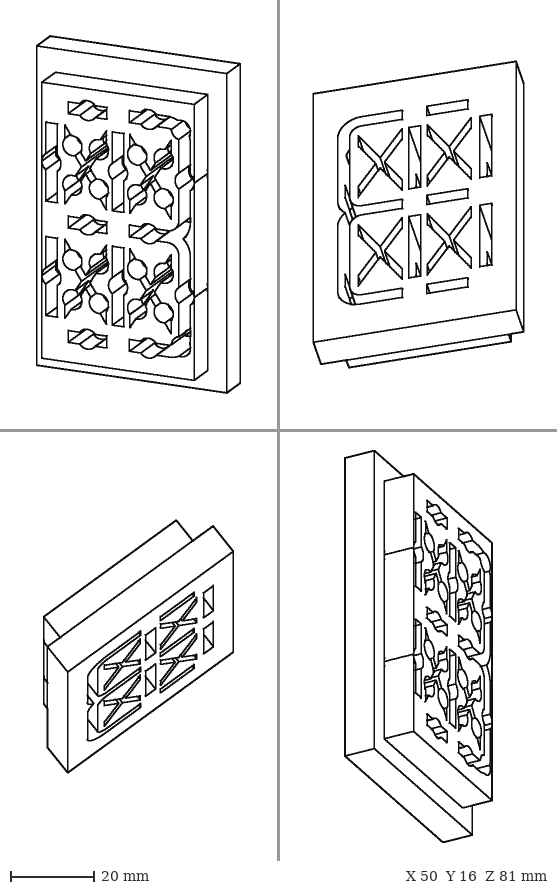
import cadquery as cq

plate_width = 50.0
plate_height = 81.0
plate_depth = 8.0
block_width = 40.0
block_height = 70.0
block_depth = 8.0
block_center_z = -0.5

slot_width = 3.0
pocket_radius = 2.5
cell_half_height = 14.5
cell_rows = (-cell_half_height, cell_half_height)
bar_rows = (-2 * cell_half_height, 0, 2 * cell_half_height)

upright_height = 20.0
side_x = block_width / 2 - pocket_radius
upright_columns = (-side_x, 0)

arm_start_x = 3.0
level_length = 10.1
level_slot_x = -arm_start_x - level_length / 2
level_pocket_x = 8.0

cross_x = 8.5
cross_half_width = 5.4
cross_half_height = upright_height / 2
cross_end_height = 3.3
cross_pocket_dx = 3.5
cross_pocket_dz = 5.0

bend_inner_radius = 3.0
top_outer_radius = 6.0
middle_outer_radius = 5.75
bottom_outer_radius = 5.4
corner_pocket_x = 16.5
corner_pocket_drop = 1.5
corner_pocket_z = bar_rows[2] - corner_pocket_drop


def outline_plane():
    return cq.Workplane("XZ")


def through(sketch):
    """Cutter that passes through plate and block."""
    return sketch.extrude(plate_depth + block_depth, both=True)


def slot(x, z, width, height):
    return through(outline_plane().center(x, z).rect(width, height))


def slanted_slot(x, z, lean):
    """Slanted slot with upright ends, centred on (x, z); lean is 1 or -1."""
    end_x = lean * cross_half_width
    inner_z = cross_half_height - cross_end_height
    return through(
        outline_plane()
        .center(x, z)
        .moveTo(end_x, cross_half_height)
        .lineTo(end_x, inner_z)
        .lineTo(-end_x, -cross_half_height)
        .lineTo(-end_x, -inner_z)
        .close()
    )


def rounded_right_end(z, right_x, half_height, upper_radius, lower_radius):
    """Cutter from the channel arms' start to right_x, its two right-hand corners rounded."""
    body = slot((arm_start_x + right_x) / 2, z, right_x - arm_start_x, 2 * half_height)
    upper_rounded = body.faces(">X").edges(">Z").fillet(upper_radius)
    return upper_rounded.faces(">X").edges("<Z").fillet(lower_radius)


def channel_loop(z, upper_radius, lower_radius):
    """C-shaped channel around the right side of one cell, with its outer bend radii."""
    half_slot = slot_width / 2
    outer = rounded_right_end(
        z, side_x + half_slot, cell_half_height + half_slot, upper_radius, lower_radius
    )
    inner = rounded_right_end(
        z, side_x - half_slot, cell_half_height - half_slot, bend_inner_radius, bend_inner_radius
    )
    return outer.cut(inner)


def pocket_centers():
    """Centres of the round pockets that widen the openings within the block."""
    centers = [(x, z) for x in (-level_pocket_x, level_pocket_x) for z in bar_rows]
    centers += [(x, z) for x in (-side_x, 0, side_x) for z in cell_rows]
    centers += [(corner_pocket_x, z) for z in (-corner_pocket_z, corner_pocket_z)]
    for x in (-cross_x, cross_x):
        for z in cell_rows:
            for dx in (-cross_pocket_dx, cross_pocket_dx):
                for dz in (-cross_pocket_dz, cross_pocket_dz):
                    centers.append((x + dx, z + dz))
    return centers


plate = outline_plane().rect(plate_width, plate_height).extrude(-plate_depth)
block = outline_plane().center(0, block_center_z).rect(block_width, block_height).extrude(block_depth)
pockets = outline_plane().pushPoints(pocket_centers()).circle(pocket_radius).extrude(block_depth)

result = plate.union(block)
for z in bar_rows:
    result = result.cut(slot(level_slot_x, z, level_length, slot_width))
for z in cell_rows:
    for x in upright_columns:
        result = result.cut(slot(x, z, slot_width, upright_height))
    for x in (-cross_x, cross_x):
        for lean in (-1, 1):
            result = result.cut(slanted_slot(x, z, lean))
lower_z, upper_z = cell_rows
result = result.cut(channel_loop(upper_z, top_outer_radius, middle_outer_radius))
result = result.cut(channel_loop(lower_z, middle_outer_radius, bottom_outer_radius))
result = result.cut(pockets)